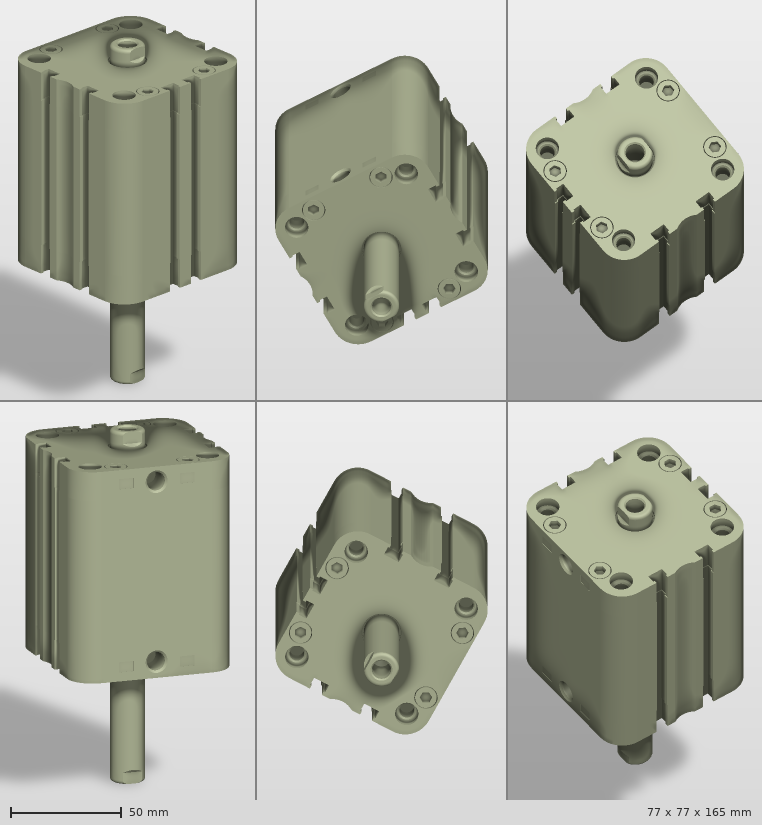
import cadquery as cq
import math

HOUSING_SIDE = 77.0
HOUSING_HEIGHT = 99.0
CORNER_RADIUS = 12.0
LOWER_CAP_HEIGHT = 14.0
UPPER_CAP_HEIGHT = 13.5

SLOT_MOUTH = 5.5
SLOT_WIDTH = 7.0
SLOT_DEPTH = 5.1
SLOT_LIP = 1.8
CAP_SLOT_CLEARANCE = 0.3
Y_SIDE_SLOT_OFFSET = 12.9
X_SIDE_SLOT_OFFSET = 6.5

GROOVE_RADIUS = 10.2
GROOVE_DEPTH = 1.6
GROOVE_EDGE_RADIUS = 1.0

MOUNT_OFFSET = 28.2
MOUNT_BORE_DIAMETER = 10.5
MOUNT_BORE_DEPTH = 4.6
MOUNT_HOLE_DIAMETER = 6.6
MOUNT_HOLE_DEPTH = 13.2
MOUNT_HOLE_CHAMFER = 0.75

SCREW_X = 32.2
SCREW_Y = 17.3
SCREW_HEAD_DIAMETER = 9.7
SCREW_BORE_DIAMETER = 10.5
SCREW_HEAD_HEIGHT = 5.0
SOCKET_ACROSS_FLATS = 5.0
SOCKET_DEPTH = 3.0

PORT_DIAMETER = 8.5
PORT_CHAMFER = 1.0
PORT_DEPTH = 13.2
LOWER_PORT_INSET = 7.6
UPPER_PORT_INSET = 7.1

LABEL_WIDTH = 7.0
LABEL_HEIGHT = 4.8
LABEL_DEPTH = 0.2
LABEL_OFFSET = 14.7
LABEL_INSET = 6.6

ROD_DIAMETER = 16.0
ROD_LENGTH = 165.0
ROD_TOP_STICKOUT = 8.1
ROD_END_FILLET = 1.6
ROD_ACROSS_FLATS = 13.2
ROD_FLAT_LENGTH = 5.5
ROD_HOLE_DIAMETER = 8.5
ROD_HOLE_CHAMFER = 0.7
ROD_HOLE_DEPTH = 19.8
DRILL_POINT_ANGLE = 118.0

WIPER_DIAMETER = 17.7
WIPER_DEPTH = 1.0
WIPER_CHAMFER = 0.2
RELIEF_DIAMETER = 16.5
RELIEF_DEPTH = 2.0

HALF_SIDE = HOUSING_SIDE / 2
ROD_TOP_Z = HOUSING_HEIGHT + ROD_TOP_STICKOUT
ROD_BOTTOM_Z = ROD_TOP_Z - ROD_LENGTH


def both_ends(cutter, middle_z):
    """The cutter made for an upper end, together with its mirror image at the lower end."""
    mirrored = cutter.mirror("XY", (0, 0, middle_z))
    return cutter.union(mirrored)


def t_slot(offset, clearance):
    """T-slot cutter in the +Y side at x = offset, grown on every face by the clearance."""
    mouth = SLOT_MOUTH + 2 * clearance
    width = SLOT_WIDTH + 2 * clearance
    floor_y = HALF_SIDE - SLOT_DEPTH - clearance
    lip_y = HALF_SIDE - SLOT_LIP + clearance
    return (
        cq.Workplane("XY")
        .moveTo(-mouth / 2, HALF_SIDE)
        .lineTo(-mouth / 2, lip_y)
        .lineTo(-width / 2, lip_y)
        .lineTo(-width / 2, floor_y)
        .lineTo(width / 2, floor_y)
        .lineTo(width / 2, lip_y)
        .lineTo(mouth / 2, lip_y)
        .lineTo(mouth / 2, HALF_SIDE)
        .close()
        .extrude(HOUSING_HEIGHT)
        .translate((offset, 0, 0))
    )


def side_groove():
    """Concave groove cutter in the +Y side, with rounded edges tangent to the flat side."""
    arc_center_y = HALF_SIDE - GROOVE_DEPTH + GROOVE_RADIUS
    edge_center_y = HALF_SIDE - GROOVE_EDGE_RADIUS
    center_distance = GROOVE_RADIUS + GROOVE_EDGE_RADIUS
    center_rise = arc_center_y - edge_center_y
    half_width = math.sqrt(center_distance**2 - center_rise**2)

    blend_x = half_width * GROOVE_RADIUS / center_distance
    blend_y = arc_center_y - center_rise * GROOVE_RADIUS / center_distance

    half_turn = math.asin(half_width / center_distance) / 2
    edge_mid_x = half_width - GROOVE_EDGE_RADIUS * math.sin(half_turn)
    edge_mid_y = edge_center_y + GROOVE_EDGE_RADIUS * math.cos(half_turn)

    return (
        cq.Workplane("XY")
        .moveTo(-half_width, HALF_SIDE)
        .threePointArc((-edge_mid_x, edge_mid_y), (-blend_x, blend_y))
        .threePointArc((0, HALF_SIDE - GROOVE_DEPTH), (blend_x, blend_y))
        .threePointArc((edge_mid_x, edge_mid_y), (half_width, HALF_SIDE))
        .close()
        .extrude(HOUSING_HEIGHT)
    )


def housing_section(base_z, height, slot_clearance):
    """One length of the housing: a rounded square block with its slots and side grooves."""
    section = (
        cq.Workplane("XY", origin=(0, 0, base_z))
        .rect(HOUSING_SIDE, HOUSING_SIDE)
        .extrude(height)
        .edges("|Z")
        .fillet(CORNER_RADIUS)
    )

    for offset in (-Y_SIDE_SLOT_OFFSET, Y_SIDE_SLOT_OFFSET):
        slot = t_slot(offset, slot_clearance)
        section = section.cut(slot).cut(slot.mirror("XZ"))
    for offset in (-X_SIDE_SLOT_OFFSET, X_SIDE_SLOT_OFFSET):
        slot = t_slot(offset, slot_clearance)
        section = section.cut(slot.rotate((0, 0, 0), (0, 0, 1), -90))

    groove = side_groove()
    return section.cut(groove).cut(groove.mirror("XZ"))


def stacked_sections():
    """Lower cap, tube and upper cap joined; the faces stay split at the seams between them."""
    upper_cap_z = HOUSING_HEIGHT - UPPER_CAP_HEIGHT
    lower_cap = housing_section(0, LOWER_CAP_HEIGHT, CAP_SLOT_CLEARANCE)
    tube = housing_section(LOWER_CAP_HEIGHT, upper_cap_z - LOWER_CAP_HEIGHT, 0)
    upper_cap = housing_section(upper_cap_z, UPPER_CAP_HEIGHT, CAP_SLOT_CLEARANCE)
    return tube.union(lower_cap, clean=False).union(upper_cap, clean=False)


def mounting_holes():
    """Counterbored, blind corner holes in the upper end face."""
    floor_z = HOUSING_HEIGHT - MOUNT_BORE_DEPTH
    bore_radius = MOUNT_BORE_DIAMETER / 2
    hole_radius = MOUNT_HOLE_DIAMETER / 2
    mouth_radius = hole_radius + MOUNT_HOLE_CHAMFER
    hole = (
        cq.Workplane("XZ")
        .moveTo(0, HOUSING_HEIGHT)
        .lineTo(bore_radius, HOUSING_HEIGHT)
        .lineTo(bore_radius, floor_z)
        .lineTo(mouth_radius, floor_z)
        .lineTo(hole_radius, floor_z - MOUNT_HOLE_CHAMFER)
        .lineTo(hole_radius, HOUSING_HEIGHT - MOUNT_HOLE_DEPTH)
        .lineTo(0, HOUSING_HEIGHT - MOUNT_HOLE_DEPTH)
        .close()
        .revolve(360, (0, 0, 0), (0, 1, 0))
    )
    holes = cq.Workplane("XY")
    for x in (-MOUNT_OFFSET, MOUNT_OFFSET):
        for y in (-MOUNT_OFFSET, MOUNT_OFFSET):
            holes = holes.union(hole.translate((x, y, 0)))
    return holes


def screw_recesses():
    """Ring gaps around the screw heads, and their hex sockets, in the upper end face."""
    socket_across_corners = SOCKET_ACROSS_FLATS / math.cos(math.pi / 6)
    gap = (
        cq.Workplane("XY", origin=(0, 0, HOUSING_HEIGHT))
        .circle(SCREW_BORE_DIAMETER / 2)
        .circle(SCREW_HEAD_DIAMETER / 2)
        .extrude(-SCREW_HEAD_HEIGHT)
    )
    socket = (
        cq.Workplane("XY", origin=(0, 0, HOUSING_HEIGHT))
        .polygon(6, socket_across_corners)
        .extrude(-SOCKET_DEPTH)
    )
    recesses = cq.Workplane("XY")
    for x, turn in ((-SCREW_X, 90), (SCREW_X, 0)):
        recess = gap.union(socket.rotate((0, 0, 0), (0, 0, 1), turn))
        for y in (-SCREW_Y, SCREW_Y):
            recesses = recesses.union(recess.translate((x, y, 0)))
    return recesses


def port(z):
    """Chamfered blind port in the -X side."""
    radius = PORT_DIAMETER / 2
    mouth_radius = radius + PORT_CHAMFER
    return (
        cq.Workplane("XY")
        .moveTo(-HALF_SIDE, 0)
        .lineTo(-HALF_SIDE, mouth_radius)
        .lineTo(-HALF_SIDE + PORT_CHAMFER, radius)
        .lineTo(-HALF_SIDE + PORT_DEPTH, radius)
        .lineTo(-HALF_SIDE + PORT_DEPTH, 0)
        .close()
        .revolve(360, (0, 0, 0), (1, 0, 0))
        .translate((0, 0, z))
    )


def label_panels(z):
    """Pair of shallow rectangular recesses either side of a port."""
    return (
        cq.Workplane("YZ", origin=(-HALF_SIDE, 0, z))
        .pushPoints([(-LABEL_OFFSET, 0), (LABEL_OFFSET, 0)])
        .rect(LABEL_WIDTH, LABEL_HEIGHT)
        .extrude(LABEL_DEPTH)
    )


def rod_passage():
    """Through hole that fits the rod."""
    return cq.Workplane("XY").circle(ROD_DIAMETER / 2).extrude(HOUSING_HEIGHT)


def wiper_recess():
    """Recess around the rod in the upper end face: a chamfered rim, then a narrower relief."""
    radius = WIPER_DIAMETER / 2
    relief_radius = RELIEF_DIAMETER / 2
    floor_z = HOUSING_HEIGHT - WIPER_DEPTH
    relief_floor_z = HOUSING_HEIGHT - RELIEF_DEPTH
    return (
        cq.Workplane("XZ")
        .moveTo(0, HOUSING_HEIGHT)
        .lineTo(radius + WIPER_CHAMFER, HOUSING_HEIGHT)
        .lineTo(radius, HOUSING_HEIGHT - WIPER_CHAMFER)
        .lineTo(radius, floor_z)
        .lineTo(relief_radius, floor_z)
        .lineTo(relief_radius, relief_floor_z)
        .lineTo(0, relief_floor_z)
        .close()
        .revolve(360, (0, 0, 0), (0, 1, 0))
    )


def make_housing():
    middle_z = HOUSING_HEIGHT / 2
    cutters = [
        both_ends(mounting_holes(), middle_z),
        both_ends(screw_recesses(), middle_z),
        both_ends(wiper_recess(), middle_z),
        both_ends(label_panels(HOUSING_HEIGHT - LABEL_INSET), middle_z),
        port(LOWER_PORT_INSET),
        port(HOUSING_HEIGHT - UPPER_PORT_INSET),
        rod_passage(),
    ]
    housing = stacked_sections()
    for cutter in cutters:
        housing = housing.cut(cutter, clean=False)
    return housing


def rod_flats():
    """Wrench-flat cutters at the upper rod end, on the -X and +X sides, with 45 degree run-outs."""
    half_flats = ROD_ACROSS_FLATS / 2
    rod_radius = ROD_DIAMETER / 2
    runout = rod_radius - half_flats
    flat_end_z = ROD_TOP_Z - ROD_FLAT_LENGTH
    flat = (
        cq.Workplane("XZ")
        .moveTo(half_flats, ROD_TOP_Z)
        .lineTo(rod_radius, ROD_TOP_Z)
        .lineTo(rod_radius, flat_end_z - runout)
        .lineTo(half_flats, flat_end_z)
        .close()
        .extrude(rod_radius, both=True)
    )
    return flat.union(flat.mirror("YZ"))


def rod_end_hole():
    """Chamfered drilled hole with a conical end, in the upper rod end."""
    radius = ROD_HOLE_DIAMETER / 2
    mouth_radius = radius + ROD_HOLE_CHAMFER
    point_length = radius / math.tan(math.radians(DRILL_POINT_ANGLE / 2))
    hole_end_z = ROD_TOP_Z - ROD_HOLE_DEPTH
    return (
        cq.Workplane("XZ")
        .moveTo(0, ROD_TOP_Z)
        .lineTo(mouth_radius, ROD_TOP_Z)
        .lineTo(radius, ROD_TOP_Z - ROD_HOLE_CHAMFER)
        .lineTo(radius, hole_end_z)
        .lineTo(0, hole_end_z - point_length)
        .close()
        .revolve(360, (0, 0, 0), (0, 1, 0))
    )


def make_rod():
    rod = (
        cq.Workplane("XY", origin=(0, 0, ROD_BOTTOM_Z))
        .circle(ROD_DIAMETER / 2)
        .extrude(ROD_LENGTH)
        .faces("<Z or >Z")
        .edges()
        .fillet(ROD_END_FILLET)
    )
    middle_z = (ROD_TOP_Z + ROD_BOTTOM_Z) / 2
    rod = rod.cut(both_ends(rod_flats(), middle_z))
    return rod.cut(both_ends(rod_end_hole(), middle_z))


housing = make_housing()
rod = make_rod()

result = cq.Compound.makeCompound([housing.val(), rod.val()])